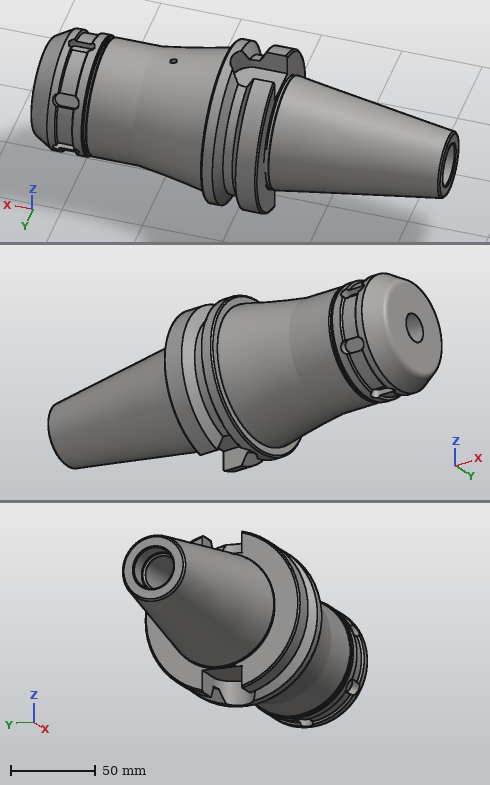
import cadquery as cq
import math

length = 251.8

gauge_x = 101.7
gauge_radius = 35.0
taper_ratio = 7 / 24
small_end_radius = gauge_radius - gauge_x * taper_ratio / 2
small_end_chamfer = 1.0
relief_radius = 34.5
relief_chamfer = 0.5
relief_fillet = 0.8

flange_x = 104.7
flange_end_x = 139.7
flange_radius = 100.0 / 2
flange_chamfer = 1.0
groove_start_x = 122.0
groove_end_x = 128.0
groove_radius = 42.5
groove_flank_angle = math.radians(30)
groove_flank = (flange_radius - groove_radius) * math.tan(groove_flank_angle)

neck_radius = 44.3
neck_start_x = 141.3
body_start_x = 186.0
body_end_x = 215.5
body_radius = 36.3
body_chamfer = 0.8
neck_waist_x = (neck_start_x + body_start_x) / 2
neck_waist_radius = 39.8

gap_radius = 34.7
nut_x = 217.0
nut_radius = 37.0
nut_edge = 0.8
band_start_x = 224.0
band_end_x = 233.7
band_radius = 35.5
band_step = 0.8
nose_start_x = 240.0
nose_drop = 0.5
nose_start_radius = nut_radius - nose_drop
nose_angle = math.radians(30)
nose_fillet = 4.0
nose_end_x = length - nose_fillet * (1 - math.sin(nose_angle))
nose_end_radius = nose_start_radius - (nose_end_x - nose_start_x) * math.tan(nose_angle)
face_radius = nose_end_radius - nose_fillet * math.cos(nose_angle)

keyway_width = 25.5
keyway_end_x = 135.7
keyway_floor = 35.0

spanner_count = 6
spanner_length = 16.0
spanner_width = 8.3
spanner_floor = 31.5
spanner_x = (band_start_x + band_end_x) / 2

through_diameter = 18.0
pilot_diameter = 25.5
pilot_depth = 11.8
pilot_mouth = 0.8
thread_diameter = 21.5
thread_mouth_diameter = 24.0
thread_mouth = (thread_mouth_diameter - thread_diameter) / 2
thread_depth = 45.3

pin_x = 171.7
pin_diameter = 4.0
pin_floor = 31.2


def turned_body():
    """Revolve the outer profile about X."""
    profile = (
        cq.Workplane("XY")
        .moveTo(0, 0)
        .lineTo(0, small_end_radius - small_end_chamfer)
        .lineTo(small_end_chamfer, small_end_radius + small_end_chamfer * taper_ratio / 2)
        .lineTo(gauge_x, gauge_radius)
        .lineTo(gauge_x + relief_chamfer, relief_radius)
        .lineTo(flange_x - relief_fillet, relief_radius)
        .radiusArc((flange_x, relief_radius + relief_fillet), -relief_fillet)
        .lineTo(flange_x, flange_radius - flange_chamfer)
        .lineTo(flange_x + flange_chamfer, flange_radius)
        .lineTo(groove_start_x - groove_flank, flange_radius)
        .lineTo(groove_start_x, groove_radius)
        .lineTo(groove_end_x, groove_radius)
        .lineTo(groove_end_x + groove_flank, flange_radius)
        .lineTo(flange_end_x - flange_chamfer, flange_radius)
        .lineTo(flange_end_x, flange_radius - flange_chamfer)
        .lineTo(flange_end_x, neck_radius)
        .lineTo(neck_start_x, neck_radius)
        .threePointArc((neck_waist_x, neck_waist_radius), (body_start_x, body_radius))
        .lineTo(body_end_x - body_chamfer, body_radius)
        .lineTo(body_end_x, body_radius - body_chamfer)
        .lineTo(body_end_x, gap_radius)
        .lineTo(nut_x, gap_radius)
        .lineTo(nut_x, nut_radius - nut_edge)
        .lineTo(nut_x + nut_edge, nut_radius)
        .lineTo(band_start_x - band_step, nut_radius)
        .lineTo(band_start_x, band_radius)
        .lineTo(band_end_x, band_radius)
        .lineTo(band_end_x + band_step, nut_radius)
        .lineTo(nose_start_x - nut_edge, nut_radius)
        .lineTo(nose_start_x, nose_start_radius)
        .lineTo(nose_end_x, nose_end_radius)
        .radiusArc((length, face_radius), nose_fillet)
        .lineTo(length, 0)
        .close()
    )
    return profile.revolve(360, (0, 0, 0), (1, 0, 0))


def keyway():
    """Round-ended cutter for the top keyway, open towards the taper."""
    half = keyway_width / 2
    start_x = flange_x - relief_fillet
    return (
        cq.Workplane("XY", origin=(0, 0, keyway_floor))
        .moveTo(start_x, -half)
        .lineTo(keyway_end_x - half, -half)
        .threePointArc((keyway_end_x, 0), (keyway_end_x - half, half))
        .lineTo(start_x, half)
        .close()
        .extrude(flange_radius)
    )


def spanner_slot(angle):
    """Flat-bottomed slot along X, turned about X to the given angle."""
    return (
        cq.Workplane("XY", origin=(spanner_x, 0, spanner_floor))
        .slot2D(spanner_length, spanner_width)
        .extrude(nut_radius)
        .rotate((0, 0, 0), (1, 0, 0), angle)
    )


def bore():
    """Stepped bore along X with a chamfered mouth at the small end."""
    return (
        cq.Workplane("XY")
        .moveTo(0, 0)
        .lineTo(0, pilot_diameter / 2 + pilot_mouth)
        .lineTo(pilot_mouth, pilot_diameter / 2)
        .lineTo(pilot_depth, pilot_diameter / 2)
        .lineTo(pilot_depth, thread_mouth_diameter / 2)
        .lineTo(pilot_depth + thread_mouth, thread_diameter / 2)
        .lineTo(thread_depth, thread_diameter / 2)
        .lineTo(thread_depth, through_diameter / 2)
        .lineTo(length, through_diameter / 2)
        .lineTo(length, 0)
        .close()
        .revolve(360, (0, 0, 0), (1, 0, 0))
    )


def pin_hole():
    """Blind hole straight down from the top of the neck."""
    return (
        cq.Workplane("XY", origin=(pin_x, 0, pin_floor))
        .circle(pin_diameter / 2)
        .extrude(flange_radius)
    )


result = turned_body().cut(bore()).cut(pin_hole())
for turn in (0, 180):
    result = result.cut(keyway().rotate((0, 0, 0), (1, 0, 0), turn))
for index in range(spanner_count):
    result = result.cut(spanner_slot(index * 360 / spanner_count))